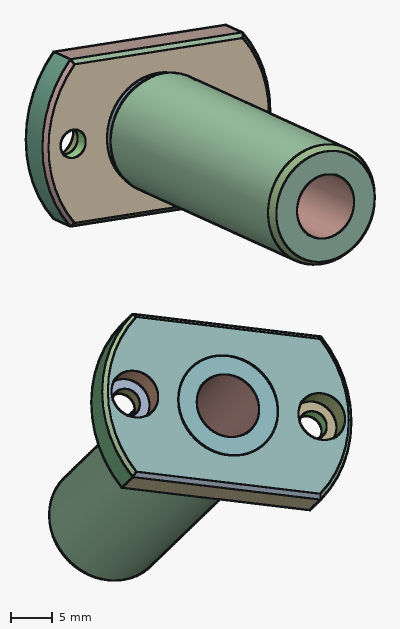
import cadquery as cq
import math

length = 45.0
bore_diameter = 8.0

flange_diameter = 32.0
flange_height = 21.0
flange_thickness = 5.1
flange_chamfer = 0.55

body_diameter = 15.0
end_chamfer_length = 1.0
end_chamfer_depth = 0.6

relief_diameter = 14.3
relief_width = 1.2
relief_bottom_offset = 0.45
relief_depth = (body_diameter - relief_diameter) / 2
relief_run_out = relief_width - relief_bottom_offset
relief_radius = (relief_run_out**2 + relief_depth**2) / (2 * relief_depth)

recess_diameter = 12.8
recess_depth = 0.15

bolt_spacing = 24.0
bolt_hole_diameter = 3.5
counterbore_diameter = 6.0
counterbore_depth = 3.15


def cylinder_along_x(diameter, start, end, y=0.0):
    """Cylinder parallel to X between two X positions."""
    return cq.Workplane("YZ", origin=(start, y, 0)).circle(diameter / 2).extrude(end - start)


def make_flange():
    """Disc cut to height by two flats, chamfered all round on both faces."""
    disc = cylinder_along_x(flange_diameter, 0, flange_thickness)
    slab = cq.Workplane("XY").box(3 * flange_thickness, 2 * flange_diameter, flange_height)
    return disc.intersect(slab).faces("<X or >X").chamfer(flange_chamfer)


def make_sleeve():
    """Revolved sleeve with a rounded relief groove and a tapered free end."""
    body_radius = body_diameter / 2
    body_start = flange_thickness + relief_width
    arc_center_height = relief_diameter / 2 + relief_radius
    neck_radius = arc_center_height - math.sqrt(relief_radius**2 - relief_bottom_offset**2)
    profile = (
        cq.Workplane("XY")
        .lineTo(0, neck_radius)
        .lineTo(flange_thickness, neck_radius)
        .radiusArc((body_start, body_radius), -relief_radius)
        .lineTo(length - end_chamfer_length, body_radius)
        .lineTo(length, body_radius - end_chamfer_depth)
        .lineTo(length, 0)
        .close()
    )
    return profile.revolve(360, (0, 0, 0), (1, 0, 0))


def cut_bolt_holes(part):
    """Through holes with counterbores opening on the flange face."""
    for y in (-bolt_spacing / 2, bolt_spacing / 2):
        part = part.cut(cylinder_along_x(bolt_hole_diameter, 0, flange_thickness, y))
        part = part.cut(cylinder_along_x(counterbore_diameter, 0, counterbore_depth, y))
    return part


bushing = make_flange().union(make_sleeve())
bushing = cut_bolt_holes(bushing)
bushing = bushing.cut(cylinder_along_x(recess_diameter, 0, recess_depth))
result = bushing.cut(cylinder_along_x(bore_diameter, 0, length))